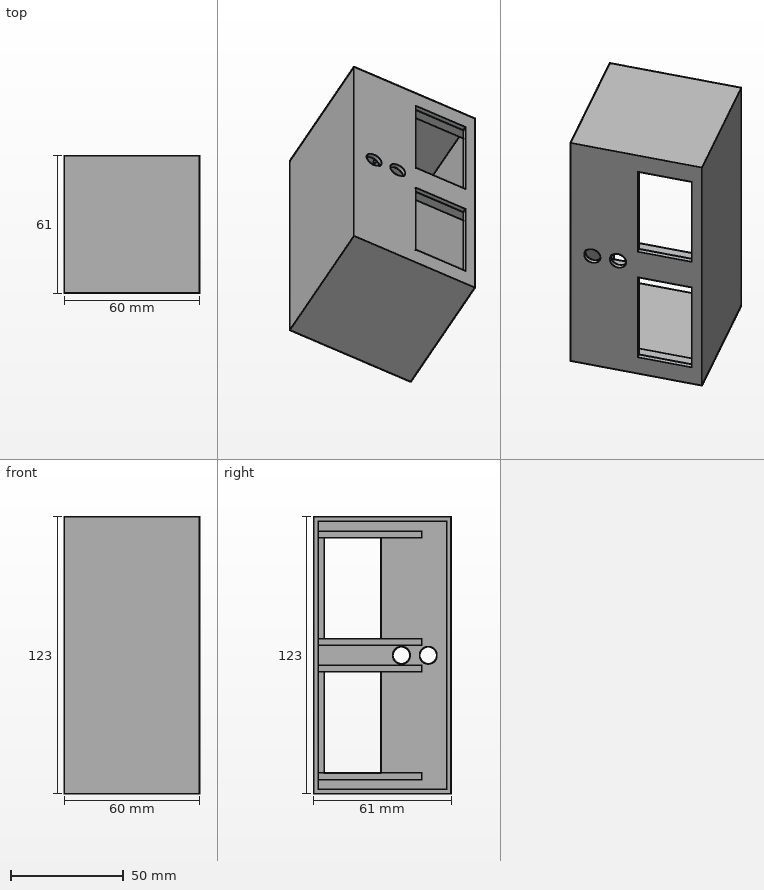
import cadquery as cq

LENGTH_X = 60.0
WIDTH_Y = 61.0
HEIGHT_Z = 123.0
WALL = 2.0

WINDOW_WIDTH = 25.0
WINDOW_HEIGHT = 45.0
WINDOW_SIDE_MARGIN = 4.8
WINDOW_END_MARGIN = 9.25

HOLE_COUNT = 2
HOLE_DIAMETER = 7.53
HOLE_SPACING = 11.9
FIRST_HOLE_FROM_SIDE = 38.95

RAIL_DEPTH = 4.0
RAIL_HEIGHT = 3.0
RAIL_LENGTH = 46.0
RAIL_OVERLAP = 0.15

FRONT_X = -LENGTH_X / 2
SIDE_Y = -WIDTH_Y / 2
WINDOW_Y = SIDE_Y + WINDOW_SIDE_MARGIN + WINDOW_WIDTH / 2
WINDOW_Z = HEIGHT_Z / 2 - WINDOW_END_MARGIN - WINDOW_HEIGHT / 2


def make_shell():
    """Five-sided box with its +X side open."""
    return cq.Workplane("XY").box(LENGTH_X, WIDTH_Y, HEIGHT_Z).faces(">X").shell(-WALL)


def make_window(center_z):
    """Rectangular cutter through the -X wall."""
    return (
        cq.Workplane("YZ", origin=(FRONT_X, WINDOW_Y, center_z))
        .rect(WINDOW_WIDTH, WINDOW_HEIGHT)
        .extrude(WALL)
    )


def make_hole(center_y):
    """Round cutter through the -X wall at mid-height."""
    return (
        cq.Workplane("YZ", origin=(FRONT_X, center_y, 0))
        .circle(HOLE_DIAMETER / 2)
        .extrude(WALL)
    )


def make_rail(window_z, side):
    """Rail below (side = -1) or above (side = 1) a window, starting at the -Y wall."""
    center_y = SIDE_Y + WALL + RAIL_LENGTH / 2
    center_z = window_z + side * (WINDOW_HEIGHT / 2 - RAIL_OVERLAP + RAIL_HEIGHT / 2)
    return (
        cq.Workplane("YZ", origin=(FRONT_X + WALL, center_y, center_z))
        .rect(RAIL_LENGTH, RAIL_HEIGHT)
        .extrude(RAIL_DEPTH)
    )


result = make_shell()

for window_z in (-WINDOW_Z, WINDOW_Z):
    result = result.cut(make_window(window_z))
    for side in (-1, 1):
        result = result.union(make_rail(window_z, side))

for index in range(HOLE_COUNT):
    hole_y = SIDE_Y + FIRST_HOLE_FROM_SIDE + index * HOLE_SPACING
    result = result.cut(make_hole(hole_y))